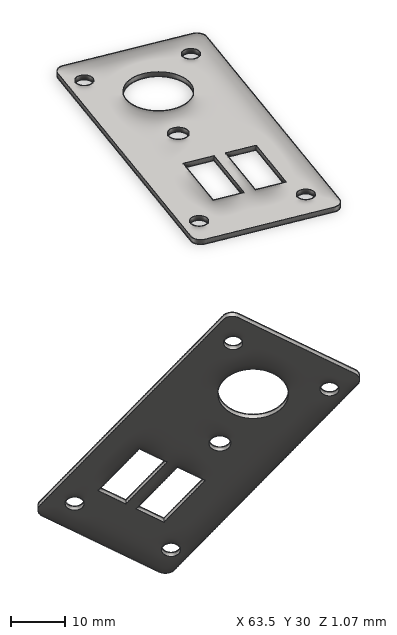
import cadquery as cq

plate_length = 63.5
plate_width = 30.0
plate_thickness = 1.07
corner_radius = 2.0

mount_diameter = 3.5
mount_pitch_x = 51.4
mount_pitch_y = 21.5
mount_center = (0.0, -0.75)

large_diameter = 13.0
large_center = (-16.75, -0.6)
small_diameter = 4.0
small_center = (-2.5, -3.0)

window_length = 13.4
window_height = 6.2
window_pitch = 8.5
windows_center = (13.75, 1.05)


def make_plate():
    """Flat plate with rounded vertical corners."""
    plate = cq.Workplane("XY").rect(plate_length, plate_width).extrude(plate_thickness)
    return plate.edges("|Z").fillet(corner_radius)


def mounting_holes():
    """Cylinders for the four mounting holes."""
    return (
        cq.Workplane("XY")
        .center(*mount_center)
        .rect(mount_pitch_x, mount_pitch_y, forConstruction=True)
        .vertices()
        .circle(mount_diameter / 2)
        .extrude(plate_thickness)
    )


def round_hole(center, diameter):
    """Cylinder for one round opening."""
    return cq.Workplane("XY").center(*center).circle(diameter / 2).extrude(plate_thickness)


def windows():
    """Blocks for the stacked pair of rectangular windows."""
    return (
        cq.Workplane("XY")
        .center(*windows_center)
        .rarray(1, window_pitch, 1, 2)
        .rect(window_length, window_height)
        .extrude(plate_thickness)
    )


result = (
    make_plate()
    .cut(mounting_holes())
    .cut(round_hole(large_center, large_diameter))
    .cut(round_hole(small_center, small_diameter))
    .cut(windows())
)